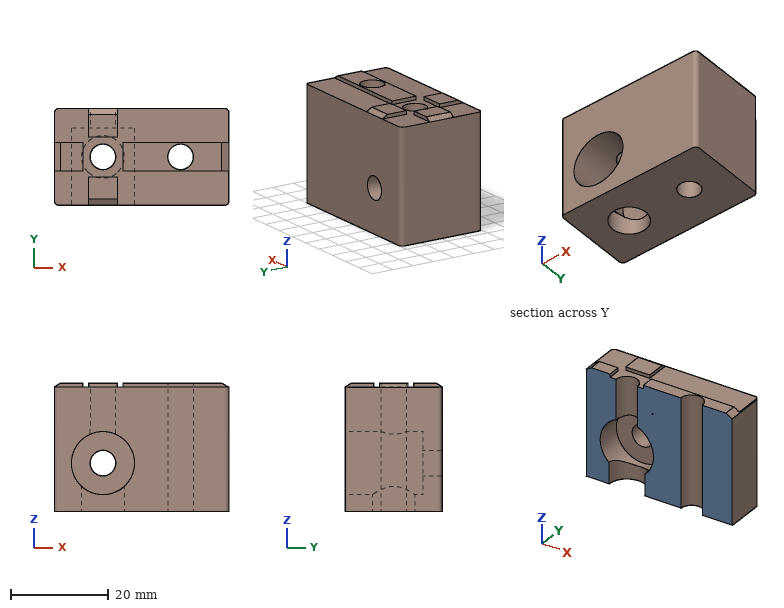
import cadquery as cq

length = 36.0
width = 20.0
height = 26.5
key_height = 0.8
body_height = height - key_height
corner_radius = 1.0

key_width = 5.9
key_gap = 1.15
ramp_length = 1.3
end_ramp_length = 1.55
end_ramp_drop = 0.9
center_x = width / 2
center_y = width / 2
arm_start = key_width / 2 + key_gap

hole_diameter = 5.22
counterbore_diameter = 13.0
counterbore_depth = 16.0
cross_bore_z = 10.0
hole_spacing = 16.0
recess_diameter = 8.8


def make_key(arm_length, angle, ramp=0):
    """Flat key from the cross centre outward, with an optional ramp down to the body top."""
    profile = [
        (arm_start, 0),
        (arm_length, 0),
        (arm_length - ramp, key_height),
        (arm_start, key_height),
    ]
    key = cq.Workplane("XZ").polyline(profile).close().extrude(key_width / 2, both=True)
    key = key.rotate((0, 0, 0), (0, 0, 1), angle)
    return key.translate((center_x, center_y, body_height))


body = cq.Workplane("XY").box(length, width, body_height, centered=False)
body = body.edges("|Z").fillet(corner_radius)

body = body.union(make_key(length - center_x, 0))
for arm_angle in (90, 180, 270):
    body = body.union(make_key(width / 2, arm_angle, ramp_length))

bevel_profile = [
    (length - end_ramp_length, height),
    (length, height),
    (length, height - end_ramp_drop),
]
bevel = cq.Workplane("XZ").polyline(bevel_profile).close().extrude(-width)
body = body.cut(bevel)

for hole_x in (center_x, center_x + hole_spacing):
    hole = cq.Workplane("XY").center(hole_x, center_y).circle(hole_diameter / 2).extrude(height)
    body = body.cut(hole)

cross_plane = cq.Workplane("XZ").center(center_x, cross_bore_z)
cross_hole = cross_plane.circle(hole_diameter / 2).extrude(-width)
counterbore = cross_plane.circle(counterbore_diameter / 2).extrude(-counterbore_depth)

recess = cq.Workplane("XY").center(center_x, center_y).circle(recess_diameter / 2).extrude(cross_bore_z)

result = body.cut(cross_hole).cut(counterbore).cut(recess)